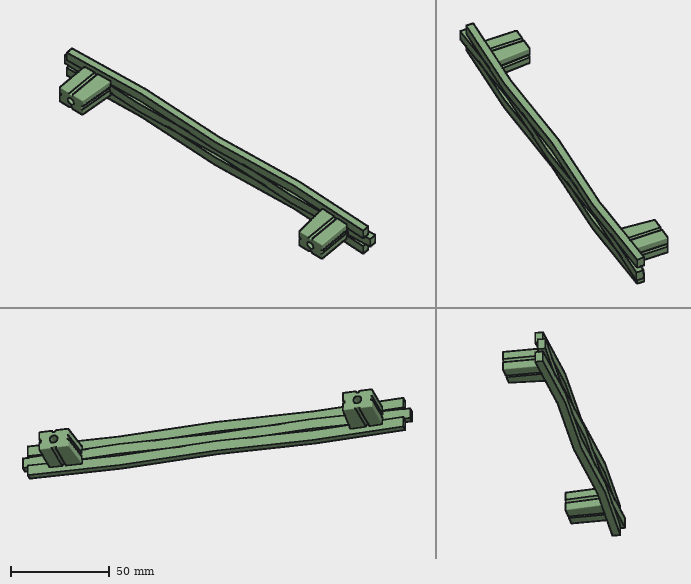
import cadquery as cq


LENGTH = 204.0
TOTAL_DEPTH = 25.0
BAR_HEIGHT = 5.5
TOTAL_HEIGHT = 3 * BAR_HEIGHT
BAR_THICKNESS = 4.0
ZIGZAG_REACH = 1.0
STRETCHES = 4
OUTER_BAR_INSET = 3.0

POST_PITCH = 160.0
POST_HEIGHT = 10.5
POST_FOOT_LENGTH = 15.5
POST_ROOT_REACH = 9.5
EDGE_ROUND = 0.6
GROOVE_RADIUS = 0.92
HOLE_DIAMETER = 4.0
HOLE_DEPTH = 12.2

BACK_Y = ZIGZAG_REACH + BAR_THICKNESS / 2
FOOT_Y = BACK_Y - TOTAL_DEPTH


def zigzag_bar(z_center, end_crest, length):
    """Bar of straight stretches between alternating crests, cut to length."""
    crests = []
    for index in range(STRETCHES + 1):
        x = -LENGTH / 2 + index * LENGTH / STRETCHES
        crests.append((x, end_crest * (-1) ** index))
    front = [(x, y - BAR_THICKNESS / 2) for x, y in crests]
    back = [(x, y + BAR_THICKNESS / 2) for x, y in reversed(crests)]
    bar = (
        cq.Workplane("XY", origin=(0, 0, z_center - BAR_HEIGHT / 2))
        .polyline(front + back)
        .close()
        .extrude(BAR_HEIGHT)
    )
    trim = cq.Workplane("XY").box(length, 2 * TOTAL_DEPTH, TOTAL_HEIGHT)
    return bar.intersect(trim)


def groove(start, end):
    """Round cutter running from start to end and as far again past both."""
    first = cq.Vector(*start)
    path = cq.Vector(*end) - first
    cutter_length = 3 * path.Length
    return cq.Solid.makeCylinder(GROOVE_RADIUS, cutter_length, first - path, path)


def left_post():
    """Post near the -X end, grooved along its four sides, with a screw hole."""
    axis_x = -POST_PITCH / 2
    outer_x = axis_x - POST_FOOT_LENGTH / 2
    root_x = axis_x + POST_ROOT_REACH
    foot_x = axis_x + POST_FOOT_LENGTH / 2
    root_y = 0
    side_z = POST_HEIGHT / 2
    post = (
        cq.Workplane("XY")
        .polyline([(outer_x, root_y), (outer_x, FOOT_Y), (foot_x, FOOT_Y), (root_x, root_y)])
        .close()
        .extrude(side_z, both=True)
        .faces("<X or >X")
        .edges("<Z or >Z")
        .fillet(EDGE_ROUND)
    )
    groove_lines = [
        ((outer_x, FOOT_Y, 0), (outer_x, root_y, 0)),
        ((foot_x, FOOT_Y, 0), (root_x, root_y, 0)),
        ((axis_x, FOOT_Y, side_z), (axis_x, root_y, side_z)),
        ((axis_x, FOOT_Y, -side_z), (axis_x, root_y, -side_z)),
    ]
    for start, end in groove_lines:
        post = post.cut(cq.Workplane(groove(start, end)))
    post = post.faces("<Y").edges().fillet(EDGE_ROUND)
    hole = cq.Solid.makeCylinder(
        HOLE_DIAMETER / 2, HOLE_DEPTH, cq.Vector(axis_x, FOOT_Y, 0), cq.Vector(0, 1, 0)
    )
    return post.cut(cq.Workplane(hole))


result = zigzag_bar(0, ZIGZAG_REACH, LENGTH)
for z_center in (-BAR_HEIGHT, BAR_HEIGHT):
    result = result.union(zigzag_bar(z_center, -ZIGZAG_REACH, LENGTH - 2 * OUTER_BAR_INSET))

post = left_post()
result = result.union(post).union(post.mirror("YZ"))